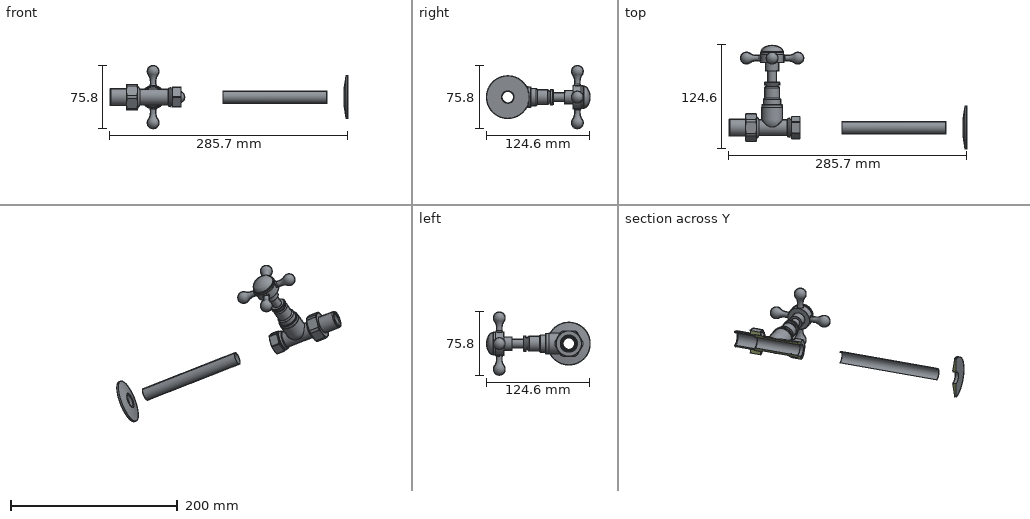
import cadquery as cq
import math


overall_length = 285.7
valve_start = -52.0

pipe_radius = 7.5
pipe_bore_radius = 6.9
pipe_start = 83.7
pipe_length = 124.9

plate_radius = 25.7
plate_hub_radius = 9.0
plate_thickness = 4.9
plate_back = valve_start + overall_length
plate_front = plate_back - plate_thickness
plate_rim_thickness = 2.3
plate_hole_chamfer = 0.5

tail_start = valve_start
tail_end = -25.7
tail_radius = 10.3
tail_bore_radius = 8.0
tail_chamfer_length = 1.5
tail_chamfer_depth = 0.5

union_start = -32.0
union_end = -18.5
union_flats = 30.9
union_corner_radius = 16.9
union_chamfer = 0.9

body_radius = 9.7
inlet_shoulder_radius = 13.5
inlet_shoulder_end = -15.7
outlet_flare_start = 18.0
outlet_flare_end = 18.9
outlet_flare_radius = 10.9
outlet_shoulder_radius = 11.7
outlet_shoulder_end = 21.7
outlet_spigot_radius = 10.0
outlet_spigot_end = 29.5

compression_start = 23.0
compression_end = 33.7
compression_flats = 23.7
compression_corner_radius = 13.5
compression_chamfer = 0.5

neck_base = 8.5
neck_radius = 12.5
neck_shoulder = 24.0
neck_top = 28.0
neck_top_radius = 12.3
neck_top_chamfer = 0.5
bonnet_lower_radius = 10.5
bonnet_lower_top = 33.7
bonnet_upper_base = 35.5
bonnet_upper_radius = 9.0
bonnet_upper_top = 47.5
bonnet_tip_radius = 8.0
bonnet_tip_top = 49.0
bonnet_groove_radius = 7.0
flange_base = 51.5
flange_radius = 9.5
flange_top = 54.5
flange_chamfer = 0.9

spindle_radius = 5.5
collar_base = 68.0
collar_radius = 8.0
hub_base = 78.0
hub_radius = 14.0
hub_top = 88.0
band_radius = 13.7
band_top = 90.3
groove_radius = 12.9
dome_base = 91.0
dome_base_radius = 13.5
dome_line_height = 95.5
dome_line_radius = 10.9
dome_top = 98.9
dome_shoulder_radius = 12.5
dome_shoulder_height = 93.5

arm_count = 4
arm_height = 83.5
arm_radius = 3.5
arm_root_radius = 4.0
arm_root_end = 15.7
arm_taper_start = 19.5
arm_taper_end = 27.0
ball_radius = 7.0
ball_distance = 30.9


def turned_x(points):
    """Solid turned about X from (x, radius) points."""
    return cq.Workplane("XY").polyline(points).close().revolve(360, (0, 0, 0), (1, 0, 0))


def turned_y(points):
    """Solid turned about Y from (radius, y) points."""
    return cq.Workplane("XY").polyline(points).close().revolve(360, (0, 0, 0), (0, 1, 0))


def cylinder_x(radius, start, end):
    return cq.Workplane("YZ", origin=(start, 0, 0)).circle(radius).extrude(end - start)


def hex_nut(start, end, flats, corner_radius, chamfer):
    """Hexagonal nut along X, flats up and down, with its corners turned and chamfered."""
    corner_diameter = flats / math.cos(math.pi / 6)
    hexagon = cq.Workplane("YZ", origin=(start, 0, 0)).polygon(6, corner_diameter).extrude(end - start)
    turned_blank = cylinder_x(corner_radius, start, end).faces("<X or >X").chamfer(chamfer, 2 * chamfer)
    return hexagon.intersect(turned_blank)


def make_pipe():
    outside = cylinder_x(pipe_radius, pipe_start, pipe_start + pipe_length)
    return outside.cut(cylinder_x(pipe_bore_radius, pipe_start, pipe_start + pipe_length))


def make_wall_plate():
    return turned_x([
        (plate_front + plate_hole_chamfer, pipe_radius),
        (plate_front, plate_hub_radius),
        (plate_back - plate_rim_thickness, plate_radius),
        (plate_back, plate_radius),
        (plate_back, pipe_radius),
    ])


def make_tail():
    return turned_x([
        (tail_start, tail_bore_radius + tail_chamfer_depth),
        (tail_start, tail_radius - tail_chamfer_depth),
        (tail_start + tail_chamfer_length, tail_radius),
        (tail_end, tail_radius),
        (tail_end, tail_bore_radius),
        (tail_start + tail_chamfer_length, tail_bore_radius),
    ])


def make_union_nut():
    nut = hex_nut(union_start, union_end, union_flats, union_corner_radius, union_chamfer)
    return nut.cut(cylinder_x(tail_radius, union_start, union_end))


def make_compression_nut():
    nut = hex_nut(
        compression_start, compression_end, compression_flats,
        compression_corner_radius, compression_chamfer,
    )
    nut = nut.cut(cylinder_x(outlet_spigot_radius, compression_start, outlet_spigot_end))
    return nut.cut(cylinder_x(pipe_radius, outlet_spigot_end, compression_end))


def make_valve_body():
    run = turned_x([
        (tail_end, 0),
        (tail_end, tail_radius),
        (union_end, tail_radius),
        (union_end, inlet_shoulder_radius),
        (inlet_shoulder_end, body_radius),
        (outlet_flare_start, body_radius),
        (outlet_flare_end, outlet_flare_radius),
        (outlet_shoulder_end, outlet_shoulder_radius),
        (outlet_shoulder_end, outlet_spigot_radius),
        (outlet_spigot_end, outlet_spigot_radius),
        (outlet_spigot_end, 0),
    ])
    neck = turned_y([
        (0, neck_base),
        (neck_radius, neck_base),
        (neck_radius, neck_shoulder),
        (neck_top_radius, neck_shoulder),
        (neck_top_radius, neck_top - neck_top_chamfer),
        (neck_top_radius - neck_top_chamfer, neck_top),
        (bonnet_lower_radius, neck_top),
        (bonnet_lower_radius, bonnet_lower_top),
        (bonnet_upper_radius, bonnet_upper_base),
        (bonnet_upper_radius, bonnet_upper_top),
        (bonnet_tip_radius, bonnet_tip_top),
        (bonnet_groove_radius, bonnet_tip_top),
        (bonnet_groove_radius, flange_base),
        (flange_radius, flange_base),
        (flange_radius, flange_top - flange_chamfer),
        (flange_radius - flange_chamfer, flange_top),
        (0, flange_top),
    ])
    neck_bottom = cq.Workplane("XY", origin=(0, neck_base, 0)).sphere(neck_radius)
    bore = cylinder_x(pipe_bore_radius, tail_end, outlet_spigot_end)
    spindle_hole = turned_y([
        (0, neck_shoulder),
        (spindle_radius, neck_shoulder),
        (spindle_radius, flange_top),
        (0, flange_top),
    ])
    return run.union(neck_bottom).union(neck).cut(bore).cut(spindle_hole)


def make_arm():
    """One arm along +X from the spindle axis."""
    taper_end_radius = math.sqrt(ball_radius**2 - (ball_distance - arm_taper_end)**2)
    profile = (
        cq.Workplane("XY")
        .lineTo(0, arm_root_radius)
        .lineTo(hub_radius, arm_root_radius)
        .lineTo(arm_root_end, arm_radius)
        .lineTo(arm_taper_start, arm_radius)
        .tangentArcPoint((arm_taper_end, taper_end_radius), relative=False)
        .threePointArc((ball_distance, ball_radius), (ball_distance + ball_radius, 0))
        .close()
    )
    return profile.revolve(360, (0, 0, 0), (1, 0, 0)).translate((0, arm_height, 0))


def make_handle():
    crown_height = dome_top - dome_line_height
    crown_sphere_radius = (dome_line_radius**2 + crown_height**2) / (2 * crown_height)
    crown_middle_radius = dome_line_radius / 2
    crown_middle_height = (
        dome_top - crown_sphere_radius + math.sqrt(crown_sphere_radius**2 - crown_middle_radius**2)
    )
    profile = (
        cq.Workplane("XY")
        .moveTo(0, neck_shoulder)
        .lineTo(spindle_radius, neck_shoulder)
        .lineTo(spindle_radius, collar_base)
        .lineTo(collar_radius, collar_base)
        .lineTo(collar_radius, hub_base)
        .lineTo(hub_radius, hub_base)
        .lineTo(hub_radius, hub_top)
        .lineTo(band_radius, hub_top)
        .lineTo(band_radius, band_top)
        .lineTo(groove_radius, band_top)
        .lineTo(groove_radius, dome_base)
        .lineTo(dome_base_radius, dome_base)
        .threePointArc(
            (dome_shoulder_radius, dome_shoulder_height),
            (dome_line_radius, dome_line_height),
        )
        .threePointArc((crown_middle_radius, crown_middle_height), (0, dome_top))
        .close()
    )
    handle = profile.revolve(360, (0, 0, 0), (0, 1, 0))
    for index in range(arm_count):
        angle = index * 360 / arm_count
        handle = handle.union(make_arm().rotate((0, 0, 0), (0, 1, 0), angle))
    return handle


pipe = make_pipe()
wall_plate = make_wall_plate()
tail = make_tail()
union_nut = make_union_nut()
compression_nut = make_compression_nut()
valve_body = make_valve_body()
handle = make_handle()

result = cq.Compound.makeCompound([
    pipe.val(),
    wall_plate.val(),
    tail.val(),
    union_nut.val(),
    compression_nut.val(),
    valve_body.val(),
    handle.val(),
])